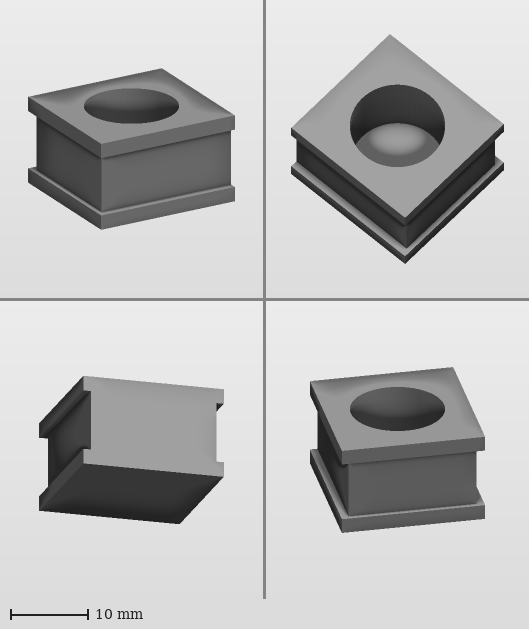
import cadquery as cq

width = 19.0
length = 20.0
height = 12.0

flange_thickness = 2.0
side_inset = 1.0
front_inset = 0.65

pocket_diameter = 12.35
pocket_depth = height - flange_thickness


def flange(bottom_z):
    """Full-size plate with its underside at bottom_z."""
    plate = cq.Workplane("XY").box(width, length, flange_thickness, centered=(True, True, False))
    return plate.translate((0, 0, bottom_z))


def core():
    """Middle block, inset at both sides and the front, flush at the back."""
    core_width = width - 2 * side_inset
    core_length = length - front_inset
    block = cq.Workplane("XY").box(core_width, core_length, height, centered=(True, True, False))
    return block.translate((0, front_inset / 2, 0))


def pocket():
    """Cylinder removed from the top face."""
    floor_z = height - pocket_depth
    return cq.Workplane("XY").workplane(offset=floor_z).circle(pocket_diameter / 2).extrude(pocket_depth)


body = core().union(flange(0)).union(flange(height - flange_thickness))
result = body.cut(pocket())